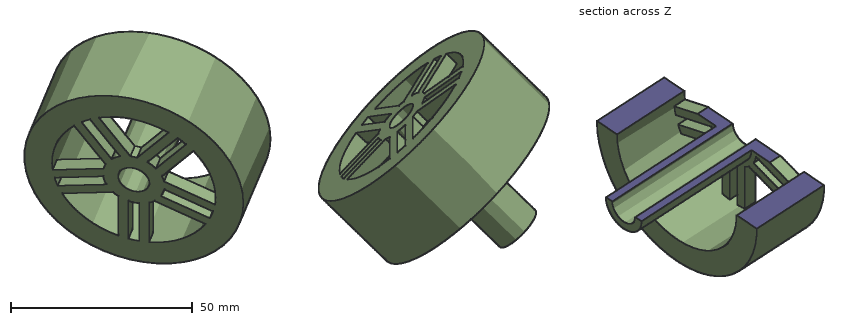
import cadquery as cq

wheel_diameter = 63.0
rim_width = 26.0
rim_inner_diameter = 47.0

hub_diameter = 17.75
axle_diameter = 14.1
axle_projection = 20.5
bore_diameter = 8.95

spoke_count = 5
spoke_pair_width = 8.8
spoke_slot_width = 3.0
spoke_thickness = 4.15

overall_length = rim_width + axle_projection
rim_inner_radius = rim_inner_diameter / 2
bar_width = (spoke_pair_width - spoke_slot_width) / 2
bar_offset = (spoke_slot_width + bar_width) / 2
rim_overlap = 0.6


def cylinder(diameter, length):
    """Cylinder on the wheel axis, running from the front face toward +Y."""
    return cq.Workplane("XZ").circle(diameter / 2).extrude(-length)


def spoke_bar(side, angle):
    """One bar of a spoke pair, turned about the wheel axis from straight down."""
    bar_length = rim_inner_radius + rim_overlap
    bar = cq.Workplane("XY").box(bar_width, spoke_thickness, bar_length, centered=(True, False, False))
    bar = bar.translate((side * bar_offset, 0, -bar_length))
    return bar.rotate((0, 0, 0), (0, 1, 0), angle)


rim = cylinder(wheel_diameter, rim_width).cut(cylinder(rim_inner_diameter, rim_width))
hub = cylinder(hub_diameter, spoke_thickness)
axle = cylinder(axle_diameter, overall_length)

result = rim.union(hub).union(axle)
for index in range(spoke_count):
    for side in (-1, 1):
        result = result.union(spoke_bar(side, index * 360 / spoke_count))

result = result.cut(cylinder(bore_diameter, overall_length))